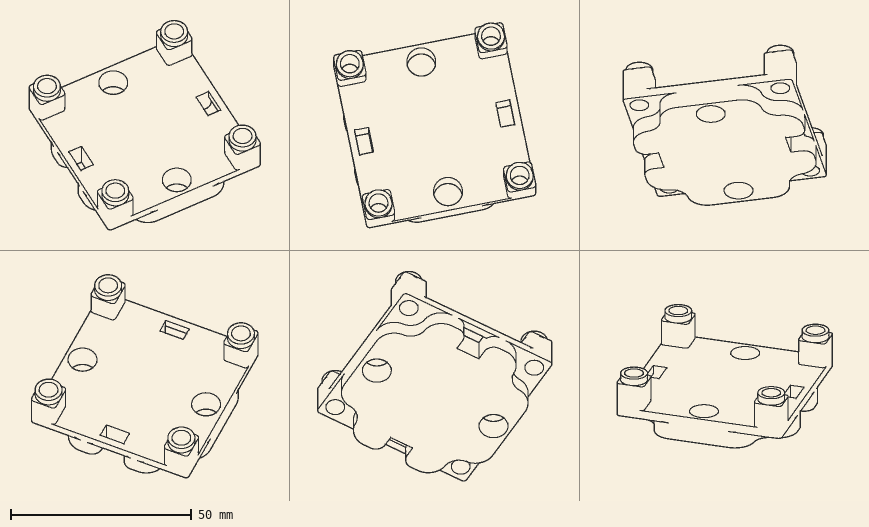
import cadquery as cq

side = 48.0
foot_height = 5.0
plate_top = 7.6
post_top = 15.0
collar_top = 17.0
edge_radius = 1.0

post_x = 7.5
post_y = 8.0
collar_diameter = 7.5
bore_diameter = 5.2
post_center_x = (side - post_x) / 2
post_center_y = (side - post_y) / 2

hole_diameter = 8.0
hole_offset_x = 0.15
hole_spacing = 37.7
slot_width = 7.1
slot_outer_offset = 2.0
slot_inner_offset = 6.0
slot_mouth_radius = 3.0

relief_radius = 4.8
relief_center = 4.8
lobe_radius = 5.7
diagonal = 0.5 ** 0.5

half = side / 2
corner_signs = [(x, y) for x in (-1, 1) for y in (-1, 1)]


def block(width, depth, bottom, top):
    return cq.Workplane("XY", origin=(0, 0, bottom)).rect(width, depth).extrude(top - bottom)


def cylinder(diameter, x, y, bottom, top):
    return cq.Workplane("XY", origin=(x, y, bottom)).circle(diameter / 2).extrude(top - bottom)


def corner_relief(sign_x, sign_y):
    """Space removed below the plate at one corner, symmetric about its diagonal."""
    def at(from_side, from_front):
        return sign_x * (half - from_side), sign_y * (half - from_front)

    inner = relief_center + relief_radius
    lobe_drop = lobe_radius - relief_center
    reach = inner + (lobe_radius ** 2 - lobe_drop ** 2) ** 0.5
    lobe_mid = reach - lobe_radius * diagonal
    lobe_mid_depth = lobe_radius * (1 - diagonal)
    bend = relief_center + relief_radius * diagonal
    return (
        cq.Workplane("XY")
        .moveTo(*at(0, 0))
        .lineTo(*at(reach, 0))
        .threePointArc(at(lobe_mid, lobe_mid_depth), at(inner, relief_center))
        .threePointArc(at(bend, bend), at(relief_center, inner))
        .threePointArc(at(lobe_mid_depth, lobe_mid), at(0, reach))
        .close()
        .extrude(foot_height)
    )


def slot_channel(sign_y):
    """Clip channel with a flared mouth below the plate, continuing up as a slot."""
    flare = slot_mouth_radius * (1 - diagonal)
    throat = slot_width / 2
    mouth = throat + slot_mouth_radius

    def at(x, from_edge):
        return x, sign_y * (half - from_edge)

    profile = (
        cq.Workplane("XY")
        .moveTo(*at(-mouth, 0))
        .threePointArc(at(-throat - flare, flare), at(-throat, slot_mouth_radius))
        .lineTo(*at(-throat, slot_inner_offset))
        .lineTo(*at(throat, slot_inner_offset))
        .lineTo(*at(throat, slot_mouth_radius))
        .threePointArc(at(throat + flare, flare), at(mouth, 0))
        .close()
        .extrude(plate_top)
    )
    lip = block(2 * mouth, 2 * slot_outer_offset, foot_height, plate_top)
    return profile.cut(lip.translate((0, sign_y * half, 0)))


result = block(side, side, 0, plate_top).edges("|Z").fillet(edge_radius)

for sign_x, sign_y in corner_signs:
    result = result.cut(corner_relief(sign_x, sign_y))

for sign_x, sign_y in corner_signs:
    x = sign_x * post_center_x
    y = sign_y * post_center_y
    post = block(post_x, post_y, foot_height, post_top).edges("|Z").fillet(edge_radius)
    result = result.union(post.translate((x, y, 0)))
    result = result.union(cylinder(collar_diameter, x, y, post_top, collar_top))
    result = result.cut(cylinder(bore_diameter, x, y, 0, collar_top))

for sign in (-1, 1):
    hole_x = hole_offset_x + sign * hole_spacing / 2
    result = result.cut(cylinder(hole_diameter, hole_x, 0, 0, plate_top))
    result = result.cut(slot_channel(sign))